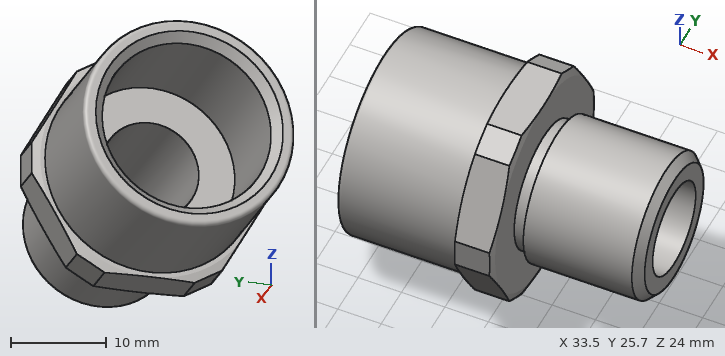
import cadquery as cq
import math

total_length = 33.5
socket_length = 14.0
hex_thickness = 4.5
neck_length = 1.5
spigot_length = total_length - socket_length - hex_thickness - neck_length

socket_radius = 11.5
bore_radius = 9.2
mouth_radius = 10.22
hole_radius = 5.3
neck_radius = 7.3
spigot_radius = 8.27

hex_sides = 6
half_side_angle = 180 / hex_sides
hex_across_flats = 24.0
hex_across_corners = 25.7
hex_chamfer_angle = 15.0

socket_edge_radius = 0.5
mouth_chamfer_depth = 1.0
spigot_chamfer = 1.0

bore_depth = socket_length


def cylinder(start, length, radius):
    """Solid cylinder on the X axis that begins at x = start."""
    return cq.Workplane("YZ", origin=(start, 0, 0)).circle(radius).extrude(length)


def hexagon(across_flats, turn):
    """Hexagonal prism at the collar; turn = 0 points a corner along Y."""
    across_points = across_flats / math.cos(math.radians(half_side_angle))
    prism = (
        cq.Workplane("YZ", origin=(socket_length, 0, 0))
        .polygon(hex_sides, across_points)
        .extrude(hex_thickness)
    )
    return prism.rotate((0, 0, 0), (1, 0, 0), turn)


def chamfered_disc():
    """Disc with conical end faces that trim the corners of the collar."""
    inner = hex_across_flats / 2
    outer = inner / math.cos(math.radians(half_side_angle))
    setback = (outer - inner) * math.tan(math.radians(hex_chamfer_angle))
    left = socket_length
    right = socket_length + hex_thickness
    profile = [
        (left, 0),
        (left, inner),
        (left + setback, outer),
        (right - setback, outer),
        (right, inner),
        (right, 0),
    ]
    return cq.Workplane("XY").polyline(profile).close().revolve(360, (0, 0, 0), (1, 0, 0))


def make_collar():
    """Hexagon with flat-cut corners and chamfered end faces."""
    corner_cutter = hexagon(hex_across_corners, half_side_angle)
    return hexagon(hex_across_flats, 0).intersect(corner_cutter).intersect(chamfered_disc())


def make_socket():
    """Plain outer sleeve with a rounded edge at the mouth."""
    return cylinder(0, socket_length, socket_radius).faces("<X").edges().fillet(socket_edge_radius)


def make_spigot():
    """Relief neck followed by the spigot with a chamfered tip."""
    neck_start = socket_length + hex_thickness
    spigot = cylinder(neck_start + neck_length, spigot_length, spigot_radius)
    spigot = spigot.faces(">X").edges().chamfer(spigot_chamfer)
    return cylinder(neck_start, neck_length, neck_radius).union(spigot)


def make_passage():
    """Socket bore with a flared mouth, and the hole through the spigot."""
    profile = [
        (0, 0),
        (0, mouth_radius),
        (mouth_chamfer_depth, bore_radius),
        (bore_depth, bore_radius),
        (bore_depth, hole_radius),
        (total_length, hole_radius),
        (total_length, 0),
    ]
    return cq.Workplane("XY").polyline(profile).close().revolve(360, (0, 0, 0), (1, 0, 0))


result = make_socket().union(make_collar()).union(make_spigot()).cut(make_passage())